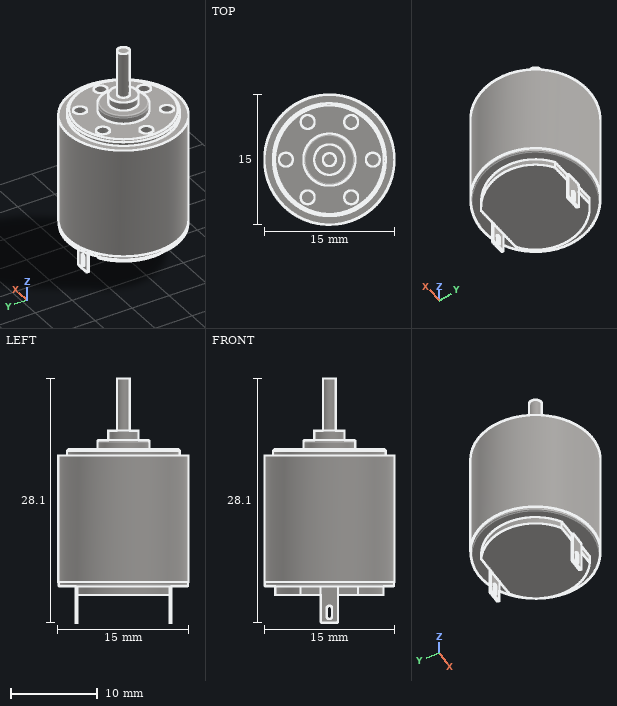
import cadquery as cq


can_radius = 7.5
can_top = 15.05
cap_radius = 7.45
cap_height = 0.5
cap_fillet = 0.15

plate_radius = 6.5
plate_height = 0.75
plate_chamfer = 0.25
hole_count = 6
hole_diameter = 1.6
hole_circle_radius = 5.0
hole_depth = 1.2

bearing_radius = 3.0
bearing_height = 1.0
bearing_fillet = 0.2
collar_radius = 1.75
collar_height = 1.1
shaft_radius = 0.75
shaft_length = 6.0

base_radius = 6.25
base_height = 1.0
base_flat_offset = 5.3

tab_width = 2.0
tab_thickness = 0.2
tab_length = base_height + 3.2
tab_corner_radius = 0.2
slot_width = 0.6
slot_length = 1.5
slot_tip_gap = 0.45

plate_top = can_top + plate_height
bearing_top = plate_top + bearing_height
collar_top = bearing_top + collar_height


def disc(radius, bottom, height):
    """Solid cylinder on the Z axis, standing on the level `bottom`."""
    return cq.Workplane("XY").workplane(offset=bottom).circle(radius).extrude(height)


def make_housing():
    can = disc(can_radius, cap_height, can_top - cap_height)
    cap = disc(cap_radius, 0, cap_height).faces("<Z").fillet(cap_fillet)
    return can.union(cap)


def make_front_plate():
    return disc(plate_radius, can_top, plate_height).faces(">Z").chamfer(plate_chamfer)


def make_shaft_stack():
    bearing = disc(bearing_radius, plate_top, bearing_height).faces(">Z").fillet(bearing_fillet)
    collar = disc(collar_radius, bearing_top, collar_height)
    shaft = disc(shaft_radius, collar_top, shaft_length)
    return bearing.union(collar).union(shaft)


def make_plate_holes():
    return (
        cq.Workplane("XY")
        .workplane(offset=plate_top)
        .polarArray(hole_circle_radius, 0, 360, hole_count)
        .circle(hole_diameter / 2)
        .extrude(-hole_depth)
    )


def make_base():
    flats = cq.Workplane("XY").box(2 * base_radius, 2 * base_flat_offset, 2 * base_height)
    return disc(base_radius, -base_height, base_height).intersect(flats)


def make_tab():
    """Slotted terminal on the +Y flat, with rounded lower corners."""
    blade = (
        cq.Workplane("XY")
        .box(tab_width, tab_thickness, tab_length)
        .translate((0, base_flat_offset + tab_thickness / 2, -tab_length / 2))
        .edges("|Y and <Z")
        .fillet(tab_corner_radius)
    )
    slot_centre = -tab_length + slot_tip_gap + slot_length / 2
    slot = (
        cq.Workplane("XZ", origin=(0, base_flat_offset, slot_centre))
        .slot2D(slot_length, slot_width, 90)
        .extrude(tab_thickness, both=True)
    )
    return blade.cut(slot)


tab = make_tab()
result = (
    make_housing()
    .union(make_front_plate())
    .cut(make_plate_holes())
    .union(make_shaft_stack())
    .union(make_base())
    .union(tab)
    .union(tab.mirror("XZ"))
)